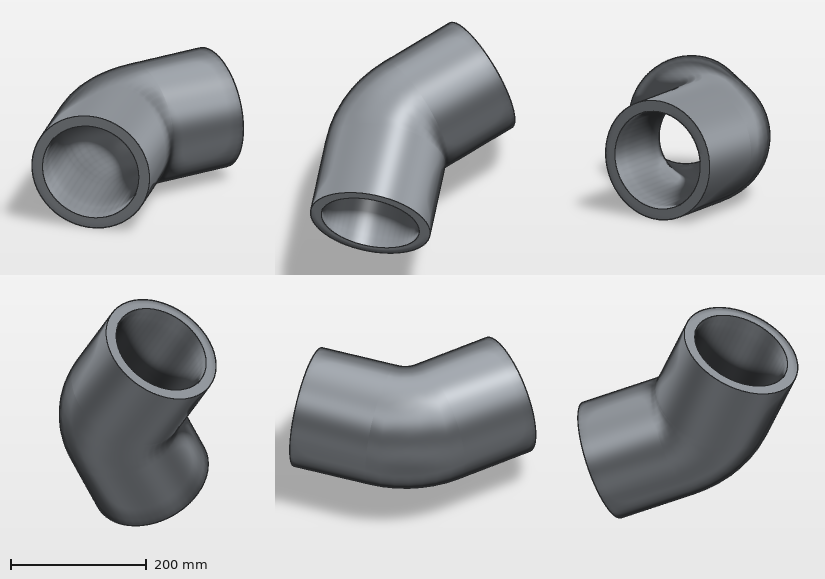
import cadquery as cq
import math

outer_diameter = 180.0
bore_diameter = 147.2
leg_length = 118.0
bend_radius = 101.7
bend_angle = 45.0


def axis_point_on_bend(angle):
    """Point on the pipe axis after turning by the given angle in degrees."""
    turn = math.radians(angle)
    x = bend_radius * (1 - math.cos(turn))
    y = leg_length + bend_radius * math.sin(turn)
    return x, y


def elbow_axis():
    """Pipe axis: along +Y from the origin, then turning towards +X."""
    bend_end_x, bend_end_y = axis_point_on_bend(bend_angle)
    turn = math.radians(bend_angle)
    outlet = (
        bend_end_x + leg_length * math.sin(turn),
        bend_end_y + leg_length * math.cos(turn),
    )
    return (
        cq.Workplane("XY")
        .lineTo(0, leg_length)
        .threePointArc(axis_point_on_bend(bend_angle / 2), (bend_end_x, bend_end_y))
        .lineTo(*outlet)
    )


wall_section = cq.Workplane("XZ").circle(outer_diameter / 2).circle(bore_diameter / 2)
result = wall_section.sweep(elbow_axis())